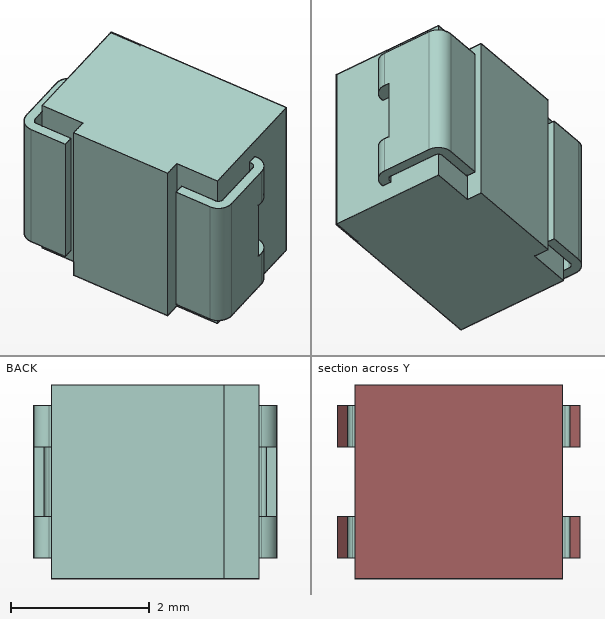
import cadquery as cq

LENGTH = 3.5
DEPTH = 2.095
HEIGHT = 2.793
FRONT_Y = -DEPTH / 2
BACK_Y = DEPTH / 2

HOUSING_WIDTH = 2.99
PEDESTAL_WIDTH = 1.603
PEDESTAL_DEPTH = 0.245

BAND_WIDTH = 0.505
BAND_THICKNESS = 0.018

SHEET_THICKNESS = 0.15
BEND_RADIUS = 0.225
FOOT_LENGTH = 0.805
TERMINAL_DEPTH = 1.25
TERMINAL_HEIGHT = 2.198
NOTCH_HEIGHT = 0.995
NOTCH_DEPTH = 0.3


def make_band():
    """Strip along the -X edge of the back face, over the full height."""
    return (
        cq.Workplane("XY")
        .box(BAND_WIDTH, BAND_THICKNESS, HEIGHT, centered=(False, False, True))
        .translate((-HOUSING_WIDTH / 2, BACK_Y - BAND_THICKNESS, 0))
    )


def make_housing(band):
    """Block and pedestal, with a shallow recess that holds the band."""
    block_depth = DEPTH - PEDESTAL_DEPTH
    block = (
        cq.Workplane("XY")
        .box(HOUSING_WIDTH, block_depth, HEIGHT, centered=(True, False, True))
        .translate((0, FRONT_Y + PEDESTAL_DEPTH, 0))
    )
    pedestal = cq.Workplane("XY").box(PEDESTAL_WIDTH, DEPTH, HEIGHT)
    return block.union(pedestal).cut(band)


def make_left_terminal():
    """C-shaped strip at the -X end, its hook notched around mid-height."""
    outer_x = -LENGTH / 2
    inner_x = outer_x + SHEET_THICKNESS
    hook_y = FRONT_Y + TERMINAL_DEPTH
    hook_end_x = -HOUSING_WIDTH / 2
    foot_end_x = outer_x + FOOT_LENGTH
    inner_radius = BEND_RADIUS - SHEET_THICKNESS
    bend_x = outer_x + BEND_RADIUS
    foot_bend_y = FRONT_Y + BEND_RADIUS
    hook_bend_y = hook_y - BEND_RADIUS

    strip = (
        cq.Workplane("XY")
        .moveTo(foot_end_x, FRONT_Y)
        .lineTo(bend_x, FRONT_Y)
        .radiusArc((outer_x, foot_bend_y), BEND_RADIUS)
        .lineTo(outer_x, hook_bend_y)
        .radiusArc((bend_x, hook_y), BEND_RADIUS)
        .lineTo(hook_end_x, hook_y)
        .lineTo(hook_end_x, hook_y - SHEET_THICKNESS)
        .lineTo(bend_x, hook_y - SHEET_THICKNESS)
        .radiusArc((inner_x, hook_bend_y), -inner_radius)
        .lineTo(inner_x, foot_bend_y)
        .radiusArc((bend_x, FRONT_Y + SHEET_THICKNESS), -inner_radius)
        .lineTo(foot_end_x, FRONT_Y + SHEET_THICKNESS)
        .close()
        .extrude(TERMINAL_HEIGHT / 2, both=True)
    )
    notch = (
        cq.Workplane("XY")
        .box(hook_end_x - outer_x, NOTCH_DEPTH, NOTCH_HEIGHT, centered=(False, False, True))
        .translate((outer_x, hook_y - NOTCH_DEPTH, 0))
    )
    return strip.cut(notch)


band = make_band()
housing = make_housing(band)
left_terminal = make_left_terminal()
right_terminal = left_terminal.mirror("YZ")

result = cq.Compound.makeCompound(
    [housing.val(), band.val(), left_terminal.val(), right_terminal.val()]
)